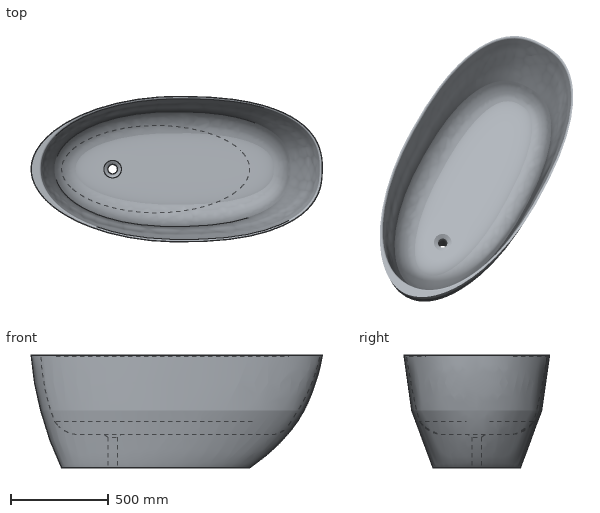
import cadquery as cq
import math


LENGTH = 1500
WIDTH = 750
HEIGHT = 580.0

LOWER_MID_Z = 150
CREASE_Z = 295.0
UPPER_MID_Z = 435
FOOT_HALF_WIDTH = 225
CREASE_HALF_WIDTH = 335.0

FLOOR_Z = 172.0
COVE_MID_Z = 195
COVE_TOP_Z = 240
WALL_MID_Z = 390
FLOOR_HALF_WIDTH = 185.0
COVE_MID_HALF_WIDTH = 249.0
COVE_TOP_HALF_WIDTH = 295.0
WALL_MID_HALF_WIDTH = 330

RIM_SIDE = 12.0
RIM_BACK = 12.0
RIM_DRAIN_END = 51.0
RIM_ROUND = 7.0

OUTER_DRAIN_POWER = 1.95
BASIN_DRAIN_POWER = 2.1
FOOT_BACK_POWER = 2
LOWER_MID_BACK_POWER = 2.1
FULL_BACK_POWER = 2.45
OVAL_STEPS = 48

DRAIN_X = -330
DRAIN_RADIUS = 24.0
DRAIN_CONE_RADIUS = 45
DRAIN_CONE_DEPTH = 15


def between(z, low_z, low_width, high_z, high_width):
    """Half width at height z on a straight side wall."""
    return low_width + (high_width - low_width) * (z - low_z) / (high_z - low_z)


def power_curve(wave, power):
    """Signed superellipse factor for a sine or cosine value."""
    return math.copysign(abs(wave) ** (2 / power), wave)


def oval(z, drain_tip, back_tip, half_width, back_power=FULL_BACK_POWER, drain_power=OUTER_DRAIN_POWER):
    """Closed egg-shaped outline at height z, between the X positions of its two tips."""
    centre = (drain_tip + back_tip) / 2
    half_length = (back_tip - drain_tip) / 2
    points = []
    for step in range(OVAL_STEPS):
        angle = 2 * math.pi * step / OVAL_STEPS
        power = back_power if math.cos(angle) > 0 else drain_power
        x = centre + half_length * power_curve(math.cos(angle), power)
        y = half_width * power_curve(math.sin(angle), power)
        points.append(cq.Vector(x, y, z))
    return cq.Wire.assembleEdges([cq.Edge.makeSpline(points, periodic=True)])


def basin_oval(z, drain_tip, back_tip, half_width):
    """Outline of the basin, slightly fuller at the drain end than the outer skin."""
    return oval(z, drain_tip, back_tip, half_width, drain_power=BASIN_DRAIN_POWER)


def skin(*outlines):
    """Solid lofted smoothly through the outlines, from the lowest up."""
    return cq.Workplane(obj=cq.Solid.makeLoft(list(outlines)))


def outer_body():
    """Solid tub shape: two lofts that meet in a crease along the sides."""
    lower_mid_width = between(LOWER_MID_Z, 0, FOOT_HALF_WIDTH, CREASE_Z, CREASE_HALF_WIDTH)
    upper_mid_width = between(UPPER_MID_Z, CREASE_Z, CREASE_HALF_WIDTH, HEIGHT, WIDTH / 2)
    foot = oval(0, drain_tip=-592.0, back_tip=375, half_width=FOOT_HALF_WIDTH, back_power=FOOT_BACK_POWER)
    lower_mid = oval(
        LOWER_MID_Z,
        drain_tip=-655.0,
        back_tip=550.0,
        half_width=lower_mid_width,
        back_power=LOWER_MID_BACK_POWER,
    )
    crease = oval(CREASE_Z, drain_tip=-700.0, back_tip=655.0, half_width=CREASE_HALF_WIDTH)
    upper_mid = oval(UPPER_MID_Z, drain_tip=-732.0, back_tip=714.0, half_width=upper_mid_width)
    rim = oval(HEIGHT, drain_tip=-LENGTH / 2, back_tip=LENGTH / 2, half_width=WIDTH / 2)
    return skin(foot, lower_mid, crease).union(skin(crease, upper_mid, rim))


def basin():
    """Hollow of the tub: flat floor, shallow cove around it, and tall side walls."""
    floor = basin_oval(FLOOR_Z, drain_tip=-519.0, back_tip=501.0, half_width=FLOOR_HALF_WIDTH)
    cove_mid = basin_oval(COVE_MID_Z, drain_tip=-583.0, back_tip=553.0, half_width=COVE_MID_HALF_WIDTH)
    cove_top = basin_oval(COVE_TOP_Z, drain_tip=-628.0, back_tip=588.0, half_width=COVE_TOP_HALF_WIDTH)
    wall_mid = basin_oval(WALL_MID_Z, drain_tip=-675, back_tip=675, half_width=WALL_MID_HALF_WIDTH)
    opening = basin_oval(
        HEIGHT,
        drain_tip=RIM_DRAIN_END - LENGTH / 2,
        back_tip=LENGTH / 2 - RIM_BACK,
        half_width=WIDTH / 2 - RIM_SIDE,
    )
    return skin(floor, cove_mid, cove_top).union(skin(cove_top, wall_mid, opening))


def round_rim(tub):
    """Round the edge where the flat rim meets the basin wall."""
    inner_edges = tub.faces(">Z").val().innerWires()[0].Edges()
    return tub.newObject(inner_edges).fillet(RIM_ROUND)


def drain():
    """Through bore with a conical seat sunk into the floor."""
    bore = cq.Workplane().center(DRAIN_X, 0).circle(DRAIN_RADIUS).extrude(FLOOR_Z)
    seat_base = cq.Vector(DRAIN_X, 0, FLOOR_Z - DRAIN_CONE_DEPTH)
    seat = cq.Solid.makeCone(DRAIN_RADIUS, DRAIN_CONE_RADIUS, DRAIN_CONE_DEPTH, seat_base)
    return bore.union(cq.Workplane(obj=seat))


tub = round_rim(outer_body().cut(basin()))
result = tub.cut(drain())